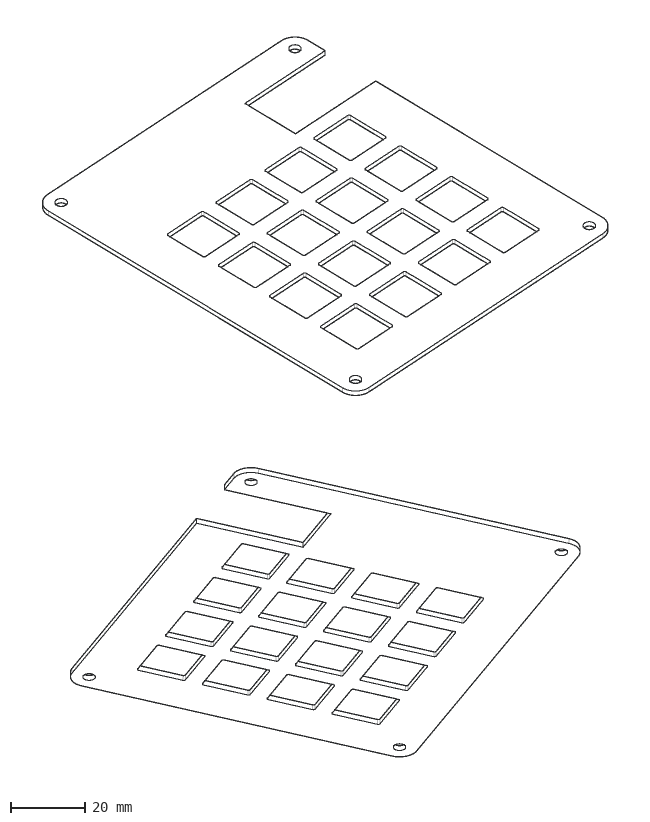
import cadquery as cq

plate_length = 119.5
plate_width = 101.0
plate_thickness = 1.5
corner_radius = 5.0

screw_hole_diameter = 3.3

keys_per_side = 4
key_pitch = 19.0
key_opening = 14.0
key_corner_radius = 0.5
key_grid_x = 10.8
key_grid_y = -0.4

notch_left_margin = 11.5
notch_width = 18.8
notch_depth = 31.2


def make_plate():
    return (
        cq.Workplane("XY")
        .box(plate_length, plate_width, plate_thickness, centered=(True, True, False))
        .edges("|Z")
        .fillet(corner_radius)
    )


def make_screw_holes():
    hole_spacing_x = plate_length - 2 * corner_radius
    hole_spacing_y = plate_width - 2 * corner_radius
    return (
        cq.Workplane("XY")
        .rect(hole_spacing_x, hole_spacing_y, forConstruction=True)
        .vertices()
        .circle(screw_hole_diameter / 2)
        .extrude(plate_thickness)
    )


def make_key_openings():
    return (
        cq.Workplane("XY")
        .center(key_grid_x, key_grid_y)
        .rarray(key_pitch, key_pitch, keys_per_side, keys_per_side)
        .rect(key_opening, key_opening)
        .extrude(plate_thickness)
        .edges("|Z")
        .fillet(key_corner_radius)
    )


def make_notch():
    notch_x = -plate_length / 2 + notch_left_margin + notch_width / 2
    notch_y = plate_width / 2 - notch_depth / 2
    return (
        cq.Workplane("XY")
        .center(notch_x, notch_y)
        .rect(notch_width, notch_depth)
        .extrude(plate_thickness)
    )


result = make_plate().cut(make_screw_holes()).cut(make_key_openings()).cut(make_notch())